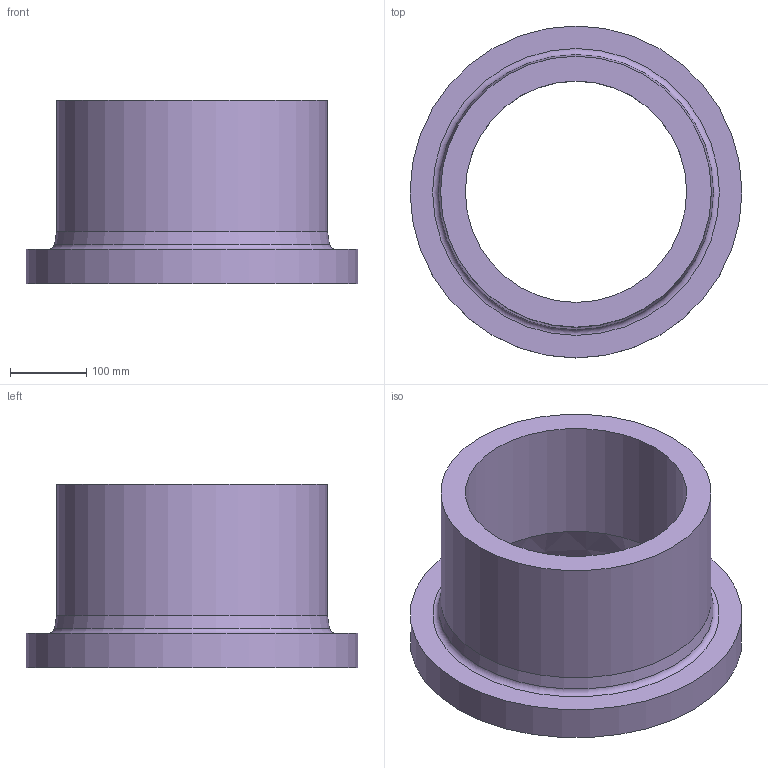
import cadquery as cq
import math

flange_radius = 435.0 / 2
flange_thickness = 45.0
total_height = 240.0
barrel_radius = 355.0 / 2
bore_radius = 290.0 / 2

collar_top_z = 68.0
taper_angle = math.radians(9.0)
blend_radius = 8.0

mouth_radius = 340.0 / 2
mouth_height = 75.0


def collar_blend():
    """Return the start, middle and end of the arc tangent to the flange face and the taper."""
    centre_z = flange_thickness + blend_radius
    taper_end_z = centre_z - blend_radius * math.sin(taper_angle)
    taper_end_radius = barrel_radius + (collar_top_z - taper_end_z) * math.tan(taper_angle)
    centre_radius = taper_end_radius + blend_radius * math.cos(taper_angle)
    middle_angle = (math.pi / 2 + taper_angle) / 2
    middle = (
        centre_radius - blend_radius * math.sin(middle_angle),
        centre_z - blend_radius * math.cos(middle_angle),
    )
    return (centre_radius, flange_thickness), middle, (taper_end_radius, taper_end_z)


def make_stub_end():
    """Revolve the radial section about Z."""
    blend_start, blend_middle, blend_end = collar_blend()
    section = (
        cq.Workplane("XZ")
        .moveTo(mouth_radius, 0)
        .lineTo(flange_radius, 0)
        .lineTo(flange_radius, flange_thickness)
        .lineTo(*blend_start)
        .threePointArc(blend_middle, blend_end)
        .lineTo(barrel_radius, collar_top_z)
        .lineTo(barrel_radius, total_height)
        .lineTo(bore_radius, total_height)
        .lineTo(bore_radius, mouth_height)
        .close()
    )
    return section.revolve(360, (0, 0, 0), (0, 1, 0))


result = make_stub_end()